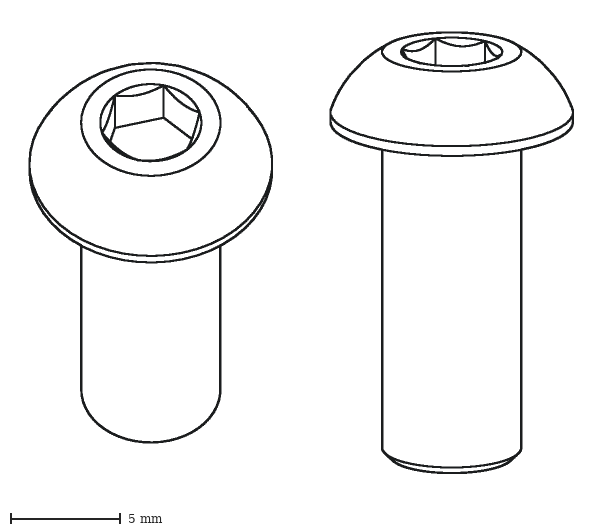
import cadquery as cq
import math

total_length = 19.23
head_diameter = 11.1
head_height = 3.33
rim_height = 0.46
crown_diameter = 6.37
dome_bulge = 0.33
shank_diameter = 6.37
tip_chamfer = 0.38
hex_across_flats = 4.0
socket_depth = 2.29
socket_cone_angle = 45.0

shank_length = total_length - head_height
head_radius = head_diameter / 2
crown_radius = crown_diameter / 2
hex_across_corners = hex_across_flats / math.cos(math.radians(30))


def make_head():
    """Revolve the domed head with its short cylindrical rim."""
    run = head_radius - crown_radius
    rise = head_height - rim_height
    chord = math.hypot(run, rise)
    dome_middle = (
        (head_radius + crown_radius) / 2 + dome_bulge * rise / chord,
        (rim_height + head_height) / 2 + dome_bulge * run / chord,
    )
    return (
        cq.Workplane("XZ")
        .lineTo(head_radius, 0)
        .lineTo(head_radius, rim_height)
        .threePointArc(dome_middle, (crown_radius, head_height))
        .lineTo(0, head_height)
        .close()
        .revolve(360, (0, 0, 0), (0, 1, 0))
    )


def make_shank():
    """Plain shank with a chamfered tip."""
    return (
        cq.Workplane("XY")
        .circle(shank_diameter / 2)
        .extrude(-shank_length)
        .faces("<Z")
        .chamfer(tip_chamfer)
    )


def make_socket():
    """Hexagonal socket with flats facing +X and -X."""
    return (
        cq.Workplane("XY", origin=(0, 0, head_height))
        .transformed(rotate=(0, 0, 90))
        .polygon(6, hex_across_corners)
        .extrude(-socket_depth)
    )


def make_lead_in():
    """Cone that clears the hexagon out to its corners at the mouth."""
    mouth_radius = hex_across_corners / 2
    throat_radius = hex_across_flats / 2
    cone_depth = (mouth_radius - throat_radius) * math.tan(math.radians(socket_cone_angle))
    return (
        cq.Workplane("XZ", origin=(0, 0, head_height))
        .lineTo(mouth_radius, 0)
        .lineTo(throat_radius, -cone_depth)
        .lineTo(0, -cone_depth)
        .close()
        .revolve(360, (0, 0, 0), (0, 1, 0))
    )


result = make_head().union(make_shank()).cut(make_socket()).cut(make_lead_in())